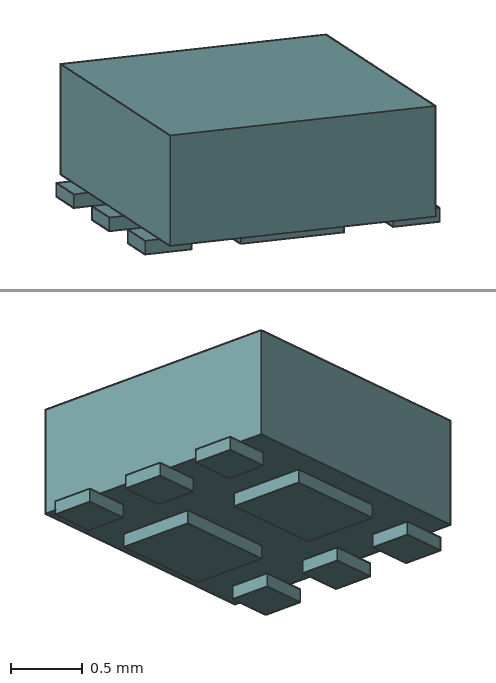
import cadquery as cq

housing_side = 2.0
housing_height = 0.8

overall_length = 2.22
metal_thickness = 0.1
lead_width = 0.32
lead_length = 0.35
lead_pitch = 0.65
lead_row_y = (overall_length - lead_length) / 2

pad_gap = 0.43
pad_length = 0.78
pad_outer_x = lead_pitch + lead_width / 2
pad_width = pad_outer_x - pad_gap / 2
pad_center_x = (pad_outer_x + pad_gap / 2) / 2


def make_block(width, length, height, center_x, center_y, bottom_z):
    """Box centred in X and Y on the given point, rising from bottom_z."""
    block = cq.Workplane("XY").box(width, length, height, centered=(True, True, False))
    return block.translate((center_x, center_y, bottom_z)).val()


def make_housing():
    return make_block(housing_side, housing_side, housing_height, 0, 0, metal_thickness)


def make_lead(center_x, center_y):
    return make_block(lead_width, lead_length, metal_thickness, center_x, center_y, 0)


def make_thermal_pad(center_x):
    return make_block(pad_width, pad_length, metal_thickness, center_x, 0, 0)


housing = make_housing()

leads = []
for row_y in (-lead_row_y, lead_row_y):
    for lead_x in (-lead_pitch, 0, lead_pitch):
        leads.append(make_lead(lead_x, row_y))

thermal_pads = [make_thermal_pad(pad_x) for pad_x in (-pad_center_x, pad_center_x)]

result = cq.Compound.makeCompound([housing, *leads, *thermal_pads])